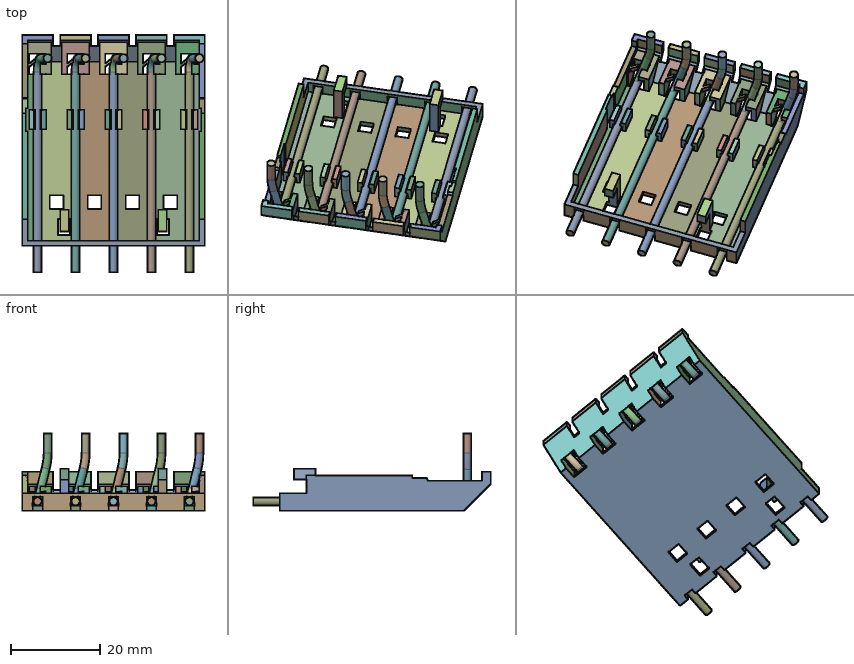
import cadquery as cq
import math

width = 41.0
length = 47.4
wall = 1.2
floor_top = 1.2
front_height = 4.0
inner_half_width = width / 2 - wall

back_chamfer = 6.0
hook_height = 8.8
hook_depth = 2.0
rear_side_height = 6.8
mid_side_height = 7.4
full_side_height = 8.0
ramp_start_y = 33.3
ramp_end_y = 33.0
full_side_back_y = 29.8
full_side_front_y = 6.0

back_notch_width = 1.55
back_notch_front_y = 44.9

pin_count = 5
pin_pitch = 8.52
pin_dia = 1.85
pin_z = 2.12
pin_front_y = -5.93
pin_top_z = 17.42
elbow_radius = 3.0
elbow_start_y = 39.15
tilt = math.radians(13.8)
tilted_top_z = 9.6
upright_start_z = 13.1
front_slot_width = 2.2
front_slot_top = 3.2

guide_half_width = 3.05
guide_leg = 1.2
guide_front_y = 38.6
guide_top = 5.5
tab_thickness = 1.2
bridge_front_y = 43.1
elbow_hole_half_width = guide_half_width - guide_leg
right_tab_back_y = 40.9
tab_gap_half_width = 0.55
barb_front_y = 40.2
barb_thickness_y = 0.8
barb_angle = math.radians(38)

clip_front_y = 26.15
clip_length = 4.4
clip_outer_x = 1.9
clip_inner_x = 1.1
clip_mouth_x = 0.55
clip_top_x = 0.85
clip_top = 3.9
clip_mouth_z = 3.05
clip_undercut_z = 2.35
recess_depth = 0.4
recess_margin = 0.4

window_size = 3.0
window_front_y = 8.35

latch_center_x = 11.0
latch_width = 2.0
latch_front_y = 3.2
latch_back_y = 8.1
latch_post_front_y = 6.0
latch_head_bottom = 7.0
latch_top = 9.5
latch_opening_inner_x = 9.8
latch_opening_outer_x = 12.45
latch_opening_front_y = 2.5

pin_positions = [(i - (pin_count - 1) / 2) * pin_pitch for i in range(pin_count)]
gap_positions = [x + pin_pitch / 2 for x in pin_positions[:-1]]


def box(x0, x1, y0, y1, z0, z1):
    """Box between two opposite corners."""
    return cq.Workplane("XY").box(x1 - x0, y1 - y0, z1 - z0, centered=False).translate((x0, y0, z0))


def side_profile(points, x0, x1):
    """Closed Y-Z outline extruded from x0 to x1."""
    return cq.Workplane("YZ").polyline(points).close().extrude(x1 - x0).translate((x0, 0, 0))


def tray():
    """Side, front and back walls with a floor that rises at 45 degrees at the back."""
    outer = side_profile(
        [
            (0, 0),
            (length - back_chamfer, 0),
            (length, back_chamfer),
            (length, hook_height),
            (length - hook_depth, hook_height),
            (length - hook_depth, rear_side_height),
            (ramp_start_y, rear_side_height),
            (ramp_end_y, mid_side_height),
            (full_side_back_y, mid_side_height),
            (full_side_back_y, full_side_height),
            (full_side_front_y, full_side_height),
            (full_side_front_y, front_height),
            (0, front_height),
        ],
        -width / 2,
        width / 2,
    )
    inside = side_profile(
        [
            (wall, floor_top),
            (length - back_chamfer, floor_top),
            (length - wall, floor_top + back_chamfer - wall),
            (length - wall, hook_height),
            (wall, hook_height),
        ],
        -inner_half_width,
        inner_half_width,
    )
    body = outer.cut(inside)
    for x in gap_positions:
        half = back_notch_width / 2
        body = body.cut(box(x - half, x + half, back_notch_front_y, length, 0, hook_height))
    return body


def clip_recesses():
    """Shallow pockets in the side walls beside the outermost clips."""
    deep = inner_half_width + recess_depth
    return box(
        -deep,
        deep,
        clip_front_y - recess_margin,
        clip_front_y + clip_length + recess_margin,
        floor_top,
        full_side_height,
    )


def floor_window(x):
    """Square window through the floor."""
    half = window_size / 2
    return box(x - half, x + half, window_front_y, window_front_y + window_size, 0, floor_top)


def guide_block(x):
    """Solid block on the rising floor with two forward legs.

    A tab on the right leg and a slanted barb on the left one hold the pin.
    """
    tab_bottom = guide_top - tab_thickness
    left = x - guide_half_width
    right = x + guide_half_width
    hole_left = x - elbow_hole_half_width
    hole_right = x + elbow_hole_half_width

    bridge = box(left, right, bridge_front_y, length - wall, floor_top, guide_top)
    left_leg = box(left, hole_left, guide_front_y, length - wall, floor_top, guide_top)
    right_leg = box(hole_right, right, guide_front_y, length - wall, floor_top, guide_top)
    right_tab = box(
        x + tab_gap_half_width, hole_right, guide_front_y, right_tab_back_y, tab_bottom, guide_top
    )
    barb_tip_x = x - tab_gap_half_width
    barb_rise = (barb_tip_x - hole_left) * math.tan(barb_angle)
    barb = (
        cq.Workplane("XY", origin=(0, 0, tab_bottom))
        .moveTo(hole_left, barb_front_y)
        .lineTo(barb_tip_x, barb_front_y + barb_rise)
        .lineTo(barb_tip_x, barb_front_y + barb_rise + barb_thickness_y)
        .lineTo(hole_left, barb_front_y + barb_thickness_y)
        .close()
        .extrude(tab_thickness)
    )
    block = bridge.union(left_leg).union(right_leg).union(right_tab).union(barb)
    return block.intersect(guide_space())


def guide_space():
    """Room for the guide blocks: down to mid floor, rising along the chamfer at the back."""
    return side_profile(
        [
            (guide_front_y, 0),
            (length - back_chamfer, 0),
            (length - wall, back_chamfer - wall),
            (length - wall, guide_top),
            (guide_front_y, guide_top),
        ],
        -width / 2,
        width / 2,
    )


def elbow_hole(x):
    """Hole through the floor below the elbow of a pin."""
    half = elbow_hole_half_width
    return box(x - half, x + half, guide_front_y, bridge_front_y, 0, guide_top)


def front_slot(x):
    """Slot for a pin in the front wall, open at the underside."""
    half = front_slot_width / 2
    return box(x - half, x + half, 0, wall, 0, front_slot_top)


def clip_pair(x):
    """Two jaws that snap over a pin, with lead-in slopes and undercut inner faces."""
    jaw = (
        cq.Workplane("XZ")
        .polyline(
            [
                (clip_inner_x, floor_top),
                (clip_outer_x, floor_top),
                (clip_outer_x, clip_top),
                (clip_top_x, clip_top),
                (clip_mouth_x, clip_mouth_z),
                (clip_inner_x, clip_undercut_z),
            ]
        )
        .close()
        .extrude(-clip_length)
    )
    return jaw.union(jaw.mirror("YZ")).translate((x, clip_front_y, 0))


def latch():
    """Right-hand latch: a post with a head that overhangs towards the front."""
    x0 = latch_center_x - latch_width / 2
    x1 = latch_center_x + latch_width / 2
    post = box(x0, x1, latch_post_front_y, latch_back_y, 0, latch_top)
    head = box(x0, x1, latch_front_y, latch_back_y, latch_head_bottom, latch_top)
    return post.union(head)


def latch_opening():
    """Floor opening in front of the right-hand latch post."""
    return box(
        latch_opening_inner_x,
        latch_opening_outer_x,
        latch_opening_front_y,
        latch_post_front_y,
        0,
        floor_top,
    )


def pin(x):
    """Round pin: straight run, elbow in a tilted plane, tilted run, bend back to upright."""
    lean = cq.Vector(math.sin(tilt), 0, math.cos(tilt))
    forward = cq.Vector(0, 1, 0)
    start = cq.Vector(x, pin_front_y, pin_z)
    elbow_start = cq.Vector(x, elbow_start_y, pin_z)
    elbow_center = elbow_start + lean * elbow_radius
    elbow_mid = elbow_center + (forward - lean).normalized() * elbow_radius
    elbow_end = elbow_center + forward * elbow_radius

    tilted_end = elbow_end + lean * ((tilted_top_z - elbow_end.z) / math.cos(tilt))
    bend_radius = (upright_start_z - tilted_top_z) / math.sin(tilt)
    bend_center = tilted_end + cq.Vector(-math.cos(tilt), 0, math.sin(tilt)) * bend_radius
    half_way = cq.Vector(math.cos(tilt / 2), 0, -math.sin(tilt / 2))
    bend_mid = bend_center + half_way * bend_radius
    bend_end = bend_center + cq.Vector(bend_radius, 0, 0)
    top = cq.Vector(bend_end.x, bend_end.y, pin_top_z)

    path = cq.Wire.assembleEdges(
        [
            cq.Edge.makeLine(start, elbow_start),
            cq.Edge.makeThreePointArc(elbow_start, elbow_mid, elbow_end),
            cq.Edge.makeLine(elbow_end, tilted_end),
            cq.Edge.makeThreePointArc(tilted_end, bend_mid, bend_end),
            cq.Edge.makeLine(bend_end, top),
        ]
    )
    section = cq.Workplane(cq.Plane(start, (1, 0, 0), (0, 1, 0))).circle(pin_dia / 2)
    return section.sweep(cq.Workplane(path))


result = tray().cut(clip_recesses())
for gap_x in gap_positions:
    result = result.cut(floor_window(gap_x))
for pin_x in pin_positions:
    result = result.cut(elbow_hole(pin_x)).cut(front_slot(pin_x))
    result = result.union(guide_block(pin_x)).union(clip_pair(pin_x)).union(pin(pin_x))
result = result.cut(latch_opening()).cut(latch_opening().mirror("YZ"))
result = result.union(latch()).union(latch().mirror("YZ"))